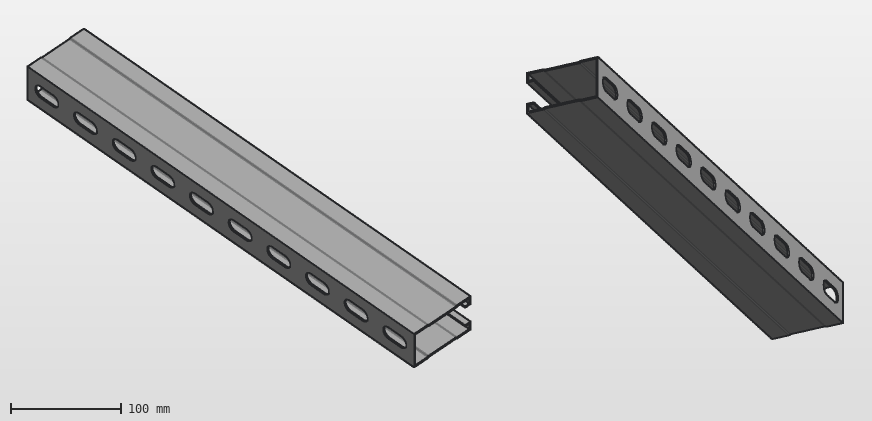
import cadquery as cq

length = 500.0
depth = 72.0
height = 41.5

wall = 1.75
lip_height = 10.0
lip_return = 7.0

step_margin = 17.0
step_run = 1.75
step_drop = 0.75

slot_count = 10
slot_pitch = length / slot_count
slot_length = 30.0
slot_height = 14.0

back_y = -depth / 2
open_y = depth / 2
top_z = height / 2


def add_ramp(sketch, start, end):
    """Continue a level line from start to end with an S-shaped ramp of two tangent arcs."""
    middle = ((start[0] + end[0]) / 2, (start[1] + end[1]) / 2)
    sketch = sketch.lineTo(*start)
    sketch = sketch.tangentArcPoint(middle, relative=False)
    return sketch.tangentArcPoint(end, relative=False)


def add_stepped_surface(sketch, z, direction):
    """Draw a stepped wall surface, toward the open side (direction 1) or the back (-1)."""
    outer_bend = direction * (depth / 2 - step_margin)
    inner_bend = outer_bend - direction * step_run
    step_z = z - step_drop
    sketch = add_ramp(sketch, (-outer_bend, z), (-inner_bend, step_z))
    return add_ramp(sketch, (inner_bend, step_z), (outer_bend, z))


def make_upper_half():
    """Upper half of the channel: half the back wall, the stepped wall and a hooked lip."""
    lip_z = top_z - lip_height
    inner_top = top_z - wall
    outline = cq.Workplane("YZ").moveTo(back_y, 0).lineTo(back_y, top_z)
    outline = add_stepped_surface(outline, top_z, 1)
    outline = (
        outline.lineTo(open_y, top_z)
        .lineTo(open_y, lip_z)
        .lineTo(open_y - lip_return, lip_z)
        .lineTo(open_y - lip_return, lip_z + wall)
        .lineTo(open_y - wall, lip_z + wall)
        .lineTo(open_y - wall, inner_top)
    )
    outline = add_stepped_surface(outline, inner_top, -1)
    outline = outline.lineTo(back_y + wall, inner_top).lineTo(back_y + wall, 0).close()
    return outline.extrude(length / 2, both=True)


def make_slots():
    """Evenly spaced slot cutters that pass through the back wall only."""
    return (
        cq.Workplane("XZ", origin=(0, back_y + wall / 2, 0))
        .rarray(slot_pitch, 5, slot_count, 1)
        .slot2D(slot_length, slot_height)
        .extrude(wall, both=True)
    )


upper_half = make_upper_half()
channel = upper_half.union(upper_half.mirror("XY")).clean()
result = channel.cut(make_slots())